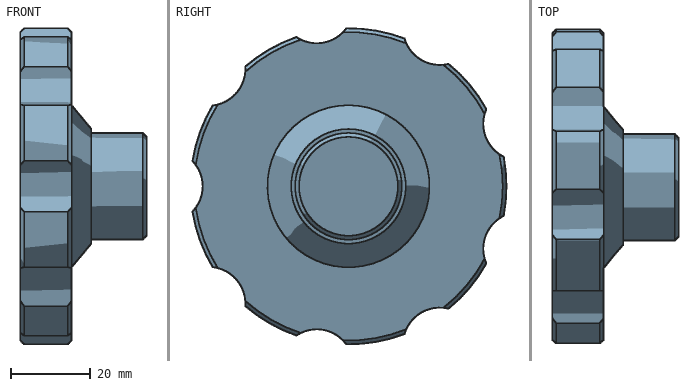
import cadquery as cq
import math

rim_radius = 40.0
rim_width = 13.0
rim_chamfer = 1.0

grip_count = 9
first_grip_angle = math.radians(180)
grip_radius = 9.25
grip_floor_radius = 36.9

neck_base_radius = 20.5
neck_top_radius = 14.5
neck_length = 5.0
hub_diameter = 27.0
hub_radius = hub_diameter / 2
overall_length = 32.0
hub_chamfer = 1.0


def make_body():
    """Revolve the half profile of the rim, neck and hub about the X axis."""
    neck_end = rim_width + neck_length
    profile = (
        cq.Workplane("XZ")
        .polyline([
            (0, 0),
            (0, rim_radius - rim_chamfer),
            (rim_chamfer, rim_radius),
            (rim_width - rim_chamfer, rim_radius),
            (rim_width, rim_radius - rim_chamfer),
            (rim_width, neck_base_radius),
            (neck_end, neck_top_radius),
            (neck_end, hub_radius),
            (overall_length - hub_chamfer, hub_radius),
            (overall_length, hub_radius - hub_chamfer),
            (overall_length, 0),
        ])
        .close()
    )
    return profile.revolve(360, (0, 0, 0), (1, 0, 0))


def make_grip_cutters():
    """Build the cylinders that scoop the finger grips out of the rim."""
    centre_radius = grip_floor_radius + grip_radius
    centres = []
    for index in range(grip_count):
        angle = first_grip_angle + index * math.radians(360 / grip_count)
        centres.append((centre_radius * math.cos(angle), centre_radius * math.sin(angle)))
    return cq.Workplane("YZ").pushPoints(centres).circle(grip_radius).extrude(rim_width)


result = make_body().cut(make_grip_cutters())